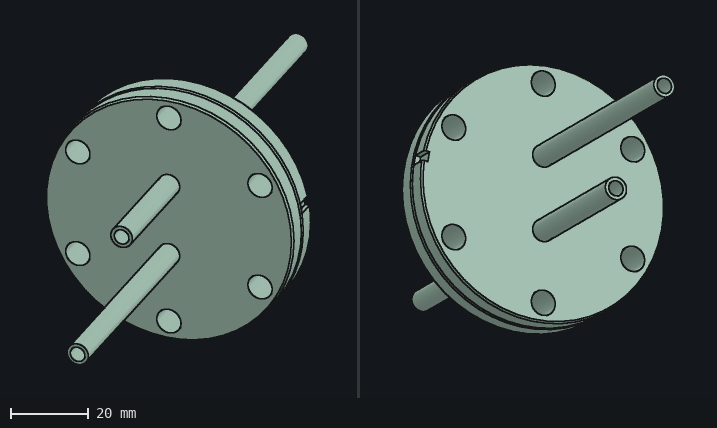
import cadquery as cq

flange_diameter = 69.2
flange_thickness = 12.8
front_chamfer_length = 0.8
front_chamfer_depth = 0.5
back_chamfer_length = 0.6
back_chamfer_depth = 0.5

groove_center = -6.3
groove_width = 1.2
groove_depth = 0.22

slot_angle = 10.5
slot_width = 2.7
slot_length = 5.5
slot_depth = 1.5

bolt_count = 6
bolt_hole_diameter = 6.8
bolt_circle_diameter = 58.6
first_bolt_angle = 90

tube_outer_diameter = 6.0
tube_bore_diameter = 4.0
tube_length = 120.0
tube_spacing = 20.0
tube_reach = 75.0

tube_offset = tube_spacing / 2
tube_places = [
    (tube_offset, tube_reach - tube_length),
    (-tube_offset, -tube_reach),
]


def make_flange_blank():
    """Disc with chamfered edges and a rounded groove, revolved about the Y axis."""
    radius = flange_diameter / 2
    front = -flange_thickness
    profile = (
        cq.Workplane("XY")
        .moveTo(0, front)
        .lineTo(radius - front_chamfer_depth, front)
        .lineTo(radius, front + front_chamfer_length)
        .lineTo(radius, groove_center - groove_width / 2)
        .threePointArc(
            (radius - groove_depth, groove_center),
            (radius, groove_center + groove_width / 2),
        )
        .lineTo(radius, -back_chamfer_length)
        .lineTo(radius - back_chamfer_depth, 0)
        .lineTo(0, 0)
        .close()
    )
    return profile.revolve(360, (0, 0, 0), (0, 1, 0))


def make_leak_slot():
    """Box centered on the rim surface, so half its radial size cuts into the rim."""
    return (
        cq.Workplane("XY")
        .box(2 * slot_depth, slot_length, slot_width)
        .translate((flange_diameter / 2, -slot_length / 2, 0))
        .rotate((0, 0, 0), (0, 1, 0), -slot_angle)
    )


def make_flange():
    """Flange with its ring of bolt holes and a matching hole for each tube."""
    bolt_holes = (
        cq.Workplane("XZ")
        .polarArray(bolt_circle_diameter / 2, first_bolt_angle, 360, bolt_count)
        .circle(bolt_hole_diameter / 2)
        .extrude(flange_thickness)
    )
    tube_holes = (
        cq.Workplane("XZ")
        .pushPoints([(0, height) for height, _ in tube_places])
        .circle(tube_outer_diameter / 2)
        .extrude(flange_thickness)
    )
    blank = make_flange_blank().cut(make_leak_slot())
    return blank.cut(bolt_holes).cut(tube_holes)


def make_tube(height, front_end):
    """Open tube parallel to Y, running back from its front end."""
    return (
        cq.Workplane("XZ", origin=(0, front_end, height))
        .circle(tube_outer_diameter / 2)
        .circle(tube_bore_diameter / 2)
        .extrude(-tube_length)
    )


flange = make_flange()
tubes = [make_tube(height, front_end) for height, front_end in tube_places]

result = cq.Compound.makeCompound([flange.val(), *[tube.val() for tube in tubes]])